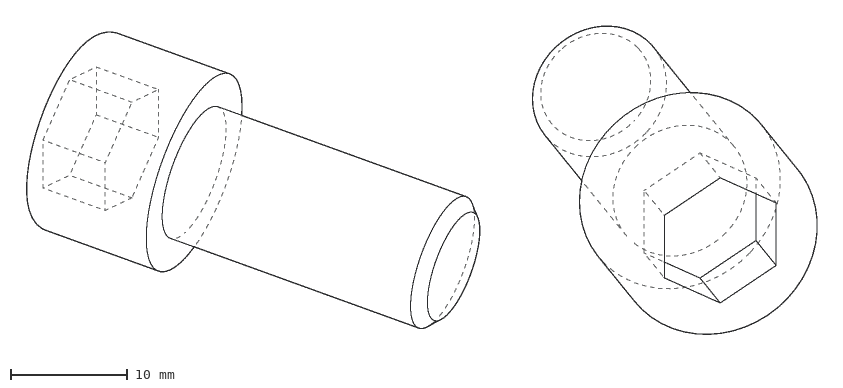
import cadquery as cq
import math

thread_diameter = 12.0
thread_core_diameter = 9.853
shank_length = 25.0

head_diameter = 18.0
head_height = thread_diameter
head_edge_radius = 1.2

socket_sides = 6
socket_across_flats = 10.0
socket_depth = head_height / 2

tip_chamfer = (thread_diameter - thread_core_diameter) / 2


def make_head():
    """Cylindrical head with a rounded outer edge on its -X face."""
    head = cq.Workplane("YZ").circle(head_diameter / 2).extrude(-head_height)
    return head.faces("<X").edges().fillet(head_edge_radius)


def make_shank():
    """Plain shank with a 45 degree chamfer down to the thread core at its tip."""
    shank = cq.Workplane("YZ").circle(thread_diameter / 2).extrude(shank_length)
    return shank.faces(">X").edges().chamfer(tip_chamfer)


def make_socket():
    """Hexagonal socket volume, with two opposite corners pointing along Z."""
    across_corners = socket_across_flats / math.cos(math.pi / socket_sides)
    return (
        cq.Workplane("YZ", origin=(-head_height, 0, 0))
        .transformed(rotate=(0, 0, 90))
        .polygon(socket_sides, across_corners)
        .extrude(socket_depth)
    )


result = make_head().union(make_shank()).cut(make_socket())